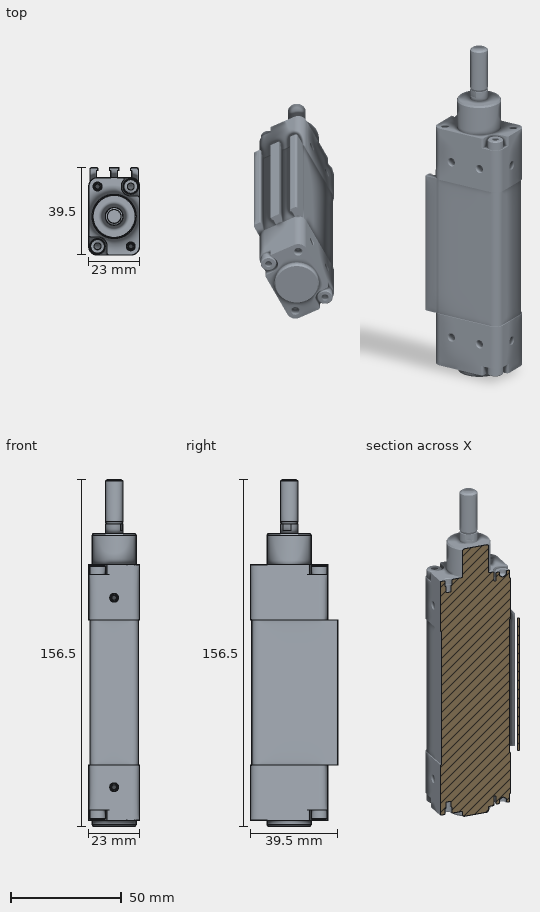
import cadquery as cq
import math

cap_height = 25.0
barrel_height = 65.5
body_height = 2 * cap_height + barrel_height
collar_height = 14.0
rod_length = 24.35
spigot_height = 2.65

cap_width = 23.0
cap_depth = 35.0
corner_radius = 4.0
boss_diameter = 20.0
boss_chamfer_radial = 0.5
boss_chamfer_axial = 0.8

barrel_setback = 0.5
barrel_width = cap_width - 2 * barrel_setback
barrel_depth = cap_depth - 2 * barrel_setback

rail_top = 22.0
slot_offset = 4.75
slot_mouth_width = 5.2
slot_inner_width = 6.3
slot_lip_thickness = 1.3
rail_outer_radius = 1.0
rail_lip_radius = 0.6

groove_low = 14.8
groove_high = 15.8
groove_depth = 0.2

corner_x = cap_width / 2 - corner_radius
corner_y = cap_depth / 2 - corner_radius
pocket_radius = 8.57 / 2
pocket_depth = 4.6
pocket_mouth_radius = 1.0
rear_mouth_wall = 3.1
head_diameter = 7.0
head_height = 4.1
head_chamfer = 0.4
socket_diameter = 3.12
socket_depth = 2.0
drill_point_angle = 118.0

mouth_diameter = 4.0
bore_diameter = 3.24
bore_depth = 3.0
core_diameter = 2.2
core_depth = 6.0
side_hole_height = 15.0
side_hole_offset = 7.5

rod_diameter = 8.0
rod_tip_chamfer_radial = 0.9
rod_tip_chamfer_axial = 0.7
thread_length = 19.0
relief_width = 1.0
relief_diameter = 7.0
flat_width = 7.0
flat_bottom = 1.4
flat_angle = 17.0


def drill_tip(radius):
    """Height of the cone left by a drill of the given radius."""
    return radius / math.tan(math.radians(drill_point_angle / 2))


def mounting_hole(start, direction):
    """Cutter for a countersunk, stepped blind hole that starts on a face and runs along direction."""
    mouth = mouth_diameter / 2
    bore = bore_diameter / 2
    core = core_diameter / 2
    profile = [
        (0, 0),
        (mouth, 0),
        (bore, mouth - bore),
        (bore, bore_depth),
        (core, bore_depth),
        (core, core_depth),
        (0, core_depth),
    ]
    cutter = cq.Workplane("XZ").polyline(profile).close().revolve(360, (0, 0, 0), (0, 1, 0)).val()
    return cutter.moved(cq.Plane(origin=start, normal=direction).location)


def boss(height):
    """Round boss on z = 0 with a chamfered free end."""
    radius = boss_diameter / 2
    profile = [
        (0, 0),
        (radius, 0),
        (radius, height - boss_chamfer_axial),
        (radius - boss_chamfer_radial, height),
        (0, height),
    ]
    return cq.Workplane("XZ").polyline(profile).close().revolve(360, (0, 0, 0), (0, 1, 0))


def pocket(side):
    """Cutter for the screw pocket in the (side, side) corner of a cap.

    The outline is drawn for the +X +Y corner and turned half a turn for the other one. Walls meet
    the cap faces in a rounded edge, except on the +Y face, where the round wall runs on further
    and ends in a short straight wall.
    """
    inner_x = corner_x - pocket_radius
    inner_y = corner_y - pocket_radius
    face_x = cap_width / 2
    face_y = cap_depth / 2
    r = pocket_mouth_radius
    bend = r * (1 - math.sqrt(0.5))
    arc = pocket_radius * math.sqrt(0.5)
    outline = cq.Workplane("XY", origin=(0, 0, cap_height - pocket_depth))
    if side > 0:
        wall_x = corner_x - rear_mouth_wall
        wall_end_y = corner_y + math.sqrt(pocket_radius**2 - rear_mouth_wall**2)
        outline = outline.moveTo(wall_x, face_y).lineTo(wall_x, wall_end_y)
    else:
        outline = (
            outline.moveTo(inner_x - r, face_y)
            .threePointArc((inner_x - bend, face_y - bend), (inner_x, face_y - r))
            .lineTo(inner_x, corner_y)
        )
    cutter = (
        outline.threePointArc((corner_x - arc, corner_y - arc), (corner_x, inner_y))
        .lineTo(face_x - r, inner_y)
        .threePointArc((face_x - bend, inner_y - bend), (face_x, inner_y - r))
        .lineTo(face_x, face_y)
        .close()
        .extrude(pocket_depth)
    )
    return cutter if side > 0 else cutter.rotate((0, 0, 0), (0, 0, 1), 180)


def screw_head(side):
    """Screw head with a drilled socket, standing on the floor of its pocket."""
    floor = cap_height - pocket_depth
    head = (
        cq.Workplane("XY", origin=(side * corner_x, side * corner_y, floor))
        .circle(head_diameter / 2)
        .extrude(head_height)
        .faces(">Z")
        .chamfer(head_chamfer)
    )
    core = socket_diameter / 2
    profile = [
        (0, 0),
        (core, 0),
        (core, -socket_depth),
        (0, -socket_depth - drill_tip(core)),
    ]
    socket = cq.Workplane("XZ").polyline(profile).close().revolve(360, (0, 0, 0), (0, 1, 0))
    return head.cut(socket.translate((side * corner_x, side * corner_y, floor + head_height)))


def end_cap(boss_height):
    """End cap from z = 0 to cap_height with its boss, screws and mounting holes on the top face."""
    cap = cq.Workplane("XY").box(cap_width, cap_depth, cap_height, centered=(True, True, False))
    cap = cap.edges("|Z").fillet(corner_radius)
    for side in (-1, 1):
        cap = cap.cut(pocket(side)).union(screw_head(side))
        cap = cap.cut(mounting_hole((side * corner_x, -side * corner_y, cap_height), (0, 0, -1)))
    return cap.union(boss(boss_height).translate((0, 0, cap_height)))


def barrel():
    """Rounded barrel with the slotted sensor rails on its +Y side."""
    body = cq.Workplane("XY").rect(barrel_width, barrel_depth).extrude(barrel_height)
    body = body.edges("|Z and <Y").fillet(corner_radius - barrel_setback)
    rail_height = rail_top - barrel_depth / 2
    rails = (
        cq.Workplane("XY")
        .center(0, rail_top - rail_height / 2)
        .rect(barrel_width, rail_height)
        .extrude(barrel_height)
        .edges("|Z and >Y")
        .fillet(rail_outer_radius)
    )
    body = body.union(rails)
    floor = barrel_depth / 2
    inner_height = rail_height - slot_lip_thickness
    for side in (-1, 1):
        channel = (
            cq.Workplane("XY")
            .center(side * slot_offset, floor + inner_height / 2)
            .rect(slot_inner_width, inner_height)
            .extrude(barrel_height)
        )
        mouth = (
            cq.Workplane("XY")
            .center(side * slot_offset, floor + rail_height / 2)
            .rect(slot_mouth_width, rail_height)
            .extrude(barrel_height)
        )
        body = body.cut(channel).cut(mouth)
        lip_x = side * (slot_offset + slot_mouth_width / 2)
        lip_edge = cq.selectors.NearestToPointSelector((lip_x, rail_top, barrel_height / 2))
        body = body.edges(lip_edge).fillet(rail_lip_radius)
    groove = (
        cq.Workplane("XY")
        .center(-barrel_width / 2, (groove_low + groove_high) / 2)
        .rect(2 * groove_depth, groove_high - groove_low)
        .extrude(barrel_height)
    )
    return body.cut(groove)


def build_housing():
    """Barrel between two mirrored caps, with mounting holes on the -X side and ports on the -Y side."""
    lower = end_cap(spigot_height).mirror("XY").translate((0, 0, cap_height))
    upper = end_cap(collar_height).translate((0, 0, body_height - cap_height))
    body = barrel().translate((0, 0, cap_height)).union(lower).union(upper)
    for z in (side_hole_height, body_height - side_hole_height):
        body = body.cut(mounting_hole((0, -cap_depth / 2, z), (0, 1, 0)))
        for y in (-side_hole_offset, side_hole_offset):
            body = body.cut(mounting_hole((-cap_width / 2, y, z), (1, 0, 0)))
    return body


def build_rod():
    """Piston rod on the collar: plain neck with two wrench flats, thread relief, threaded end."""
    radius = rod_diameter / 2
    relief_top = rod_length - thread_length
    relief_bottom = relief_top - relief_width
    profile = [
        (0, 0),
        (radius, 0),
        (radius, relief_bottom),
        (relief_diameter / 2, relief_bottom),
        (radius, relief_top),
        (radius, rod_length - rod_tip_chamfer_axial),
        (radius - rod_tip_chamfer_radial, rod_length),
        (0, rod_length),
    ]
    shaft = cq.Workplane("XZ").polyline(profile).close().revolve(360, (0, 0, 0), (0, 1, 0))
    flat_height = relief_bottom - flat_bottom
    for side in (-1, 1):
        cutter = (
            cq.Workplane("XY", origin=(0, 0, flat_bottom))
            .center(side * (flat_width + rod_diameter) / 2, 0)
            .rect(rod_diameter, rod_diameter)
            .extrude(flat_height)
            .rotate((0, 0, 0), (0, 0, 1), -flat_angle)
        )
        shaft = shaft.cut(cutter)
    return shaft.translate((0, 0, body_height + collar_height))


housing = build_housing()
rod = build_rod()

result = cq.Compound.makeCompound([housing.val(), rod.val()])